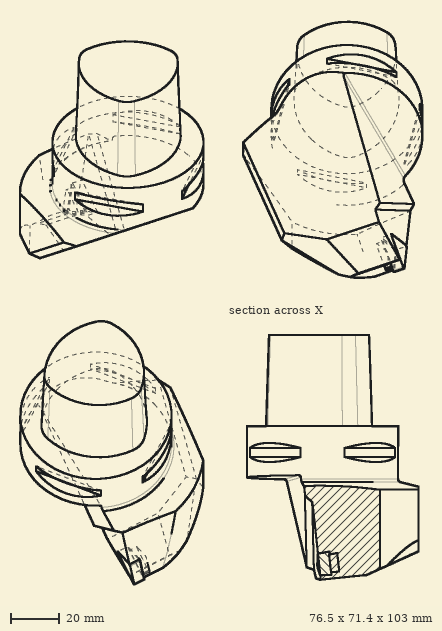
import cadquery as cq
import math


flange_radius = 63 / 2
flange_height = 22.0
shank_length = 38.0
head_radius = 45.0
head_front_y = -39.94

shank_corner_reach = 23.6
shank_side_reach = 20.65
shank_side_radius = 29.75
shank_draft_angle = 1.85
lobe_pitch = 120

slot_floor_distance = 27.8
slot_floor_width = 3.7
slot_wall_angle = 30.0
slot_angles = [45, 135, 225, 315]

shoulder_angle = 14.0
shoulder_fillet = 1.35

tip_x = -head_radius
tip_z = -64.977
insert_edge = 16.5
insert_thickness = 4.76
insert_corner_angle = 60.0
insert_nose_radius = 0.8
insert_lead_angle = 3.0
shim_thickness = 3.18
shim_inset = 1.0

rake_slope = 0.108
rake_normal = cq.Vector(-rake_slope, 1, -rake_slope).normalized()

diagonal_top = cq.Vector(flange_radius, 0, -18.5)
diagonal_bottom = cq.Vector(-20.6, 0, -63.4)
diagonal_run = diagonal_top - diagonal_bottom

bevel_front_point = cq.Vector(17.6, head_front_y, -26.2)
bevel_side_point = cq.Vector(22.3, -36.8, -26.2)

flank_point = (-42.65, 4, -26)
flank_outward = (-1, -0.102, 0.058)

corner_rim = (-36.15, -26.8, -58.2)
corner_low = (-12.4, head_front_y, -52.2)
corner_high = (-20.7, head_front_y, -47.5)
clearance_rim = (-38.3, -18.2, -62.1)
clearance_right = (-20.6, 3.1, -63.45)
clearance_left = (-40.7, 0.5, -64.15)

relief_roof_point = (-44, -5, -63.1)
relief_roof_outward = (0.25, -0.08, -1)
relief_wall_point = (-40.4, 0.5, -64)
relief_wall_outward = (-1, -0.21, -0.8)

chip_step = 2.75
chip_wall_points = [(-42.7, 4.1, -26), (-16.6, 3.34, -60), (-40.5, 7.3, -26)]
back_fillet = 1.0

undercut_point = (-30, 0, -20.45)
undercut_outward = (-0.031, 0, -1)

cutter_size = 300.0


def polar(radius, degrees):
    angle = math.radians(degrees)
    return (radius * math.cos(angle), radius * math.sin(angle))


def half_space(point, outward):
    """Large block filling the side of a plane that the outward direction points to."""
    plane = cq.Plane(origin=point, normal=outward)
    return cq.Workplane(plane).rect(cutter_size, cutter_size).extrude(cutter_size)


def half_space_through(points, outward_hint):
    """Half space bounded by the plane of three points, on the side of the hint direction."""
    first, second, third = [cq.Vector(point) for point in points]
    normal = (second - first).cross(third - first)
    if normal.dot(cq.Vector(outward_hint)) < 0:
        normal = -normal
    return half_space(first, normal)


def rake_y(x, z):
    return rake_slope * (x - tip_x + z - tip_z)


def make_shank():
    side_shift = shank_side_radius - shank_side_reach
    reach_gap = shank_side_radius - shank_corner_reach
    corner_shift = (reach_gap**2 - side_shift**2) / (side_shift - 2 * reach_gap)

    corner_x, corner_y = polar(corner_shift, 270 + lobe_pitch / 2)
    lean = math.atan2(corner_y - side_shift, corner_x)
    joint_x = shank_side_radius * math.cos(lean)
    joint_y = side_shift + shank_side_radius * math.sin(lean)
    joint_radius = math.hypot(joint_x, joint_y)
    half_side = 90 + math.degrees(math.atan2(joint_y, joint_x))

    outline = cq.Workplane("XY").moveTo(*polar(joint_radius, 270 - half_side))
    for lobe in range(3):
        side_angle = 270 + lobe * lobe_pitch
        outline = outline.threePointArc(
            polar(shank_side_reach, side_angle),
            polar(joint_radius, side_angle + half_side),
        )
        outline = outline.threePointArc(
            polar(shank_corner_reach, side_angle + lobe_pitch / 2),
            polar(joint_radius, side_angle + lobe_pitch - half_side),
        )
    return outline.close().extrude(shank_length, taper=shank_draft_angle)


def make_slot_cutter(angle):
    mouth_distance = flange_radius + 1
    wall_spread = (mouth_distance - slot_floor_distance) * math.tan(math.radians(slot_wall_angle))
    half_floor = slot_floor_width / 2
    half_mouth = half_floor + wall_spread
    profile = [
        (slot_floor_distance, -half_floor),
        (mouth_distance, -half_mouth),
        (mouth_distance, half_mouth),
        (slot_floor_distance, half_floor),
    ]
    slot = cq.Workplane("XZ").polyline(profile).close().extrude(flange_radius, both=True)
    return slot.translate((0, 0, -flange_height / 2)).rotate((0, 0, 0), (0, 0, 1), angle)


def make_flange():
    flange = cq.Workplane("XY").circle(flange_radius).extrude(-flange_height)
    for angle in slot_angles:
        flange = flange.cut(make_slot_cutter(angle))
    return flange


def make_head_blank():
    """Round blank with a fillet under the flange and a conical shoulder."""
    shoulder = math.radians(shoulder_angle)
    fillet_turn = math.pi / 2 - shoulder
    setback = shoulder_fillet * math.tan(fillet_turn / 2)
    cone_start_r = flange_radius + setback * math.cos(shoulder)
    cone_start_z = -flange_height - setback - setback * math.sin(shoulder)
    cone_end_z = cone_start_z - (head_radius - cone_start_r) * math.tan(shoulder)
    fillet_middle = (
        flange_radius + shoulder_fillet * (1 - math.cos(fillet_turn / 2)),
        -flange_height - shoulder_fillet * math.sin(fillet_turn / 2),
    )
    return (
        cq.Workplane("XZ")
        .moveTo(0, -flange_height)
        .lineTo(flange_radius, -flange_height)
        .threePointArc(fillet_middle, (cone_start_r, cone_start_z))
        .lineTo(head_radius, cone_end_z)
        .lineTo(head_radius, tip_z)
        .lineTo(0, tip_z)
        .close()
        .revolve(360, (0, 0, 0), (0, 1, 0))
    )


def cut_sides(head):
    head = head.cut(half_space((0, head_front_y, 0), (0, -1, 0)))
    head = head.cut(half_space(flank_point, flank_outward))
    bevel_points = [bevel_front_point, bevel_side_point, bevel_front_point + diagonal_run]
    return head.cut(half_space_through(bevel_points, (1, -1, -1)))


def cut_underside(head):
    downward = (0, 0, -1)
    facets = [
        [corner_rim, corner_low, corner_high],
        [corner_rim, corner_low, clearance_rim],
        [clearance_rim, clearance_right, clearance_left],
    ]
    for facet in facets:
        head = head.cut(half_space_through(facet, downward))
    relief = half_space(relief_roof_point, relief_roof_outward)
    relief = relief.intersect(half_space(relief_wall_point, relief_wall_outward))
    return head.cut(relief)


def cut_chip_pocket(head):
    above_rake = half_space((tip_x, 0, tip_z), rake_normal)
    beside_wall = half_space_through(chip_wall_points, (-1, 0, -1))
    return head.cut(above_rake.intersect(beside_wall))


def make_back_cutter():
    """Space behind the back face and under the flange, rounded where the two meet."""
    back_point = (tip_x, chip_step, tip_z)
    behind = half_space(back_point, rake_normal)
    below = half_space(undercut_point, undercut_outward)
    corner_direction = rake_normal.cross(cq.Vector(undercut_outward))
    corner_edges = cq.selectors.ParallelDirSelector(corner_direction)
    corner_middle = (0, chip_step + rake_y(0, -flange_height), -flange_height)
    nearest = cq.selectors.NearestToPointSelector(corner_middle)
    cutter = behind.intersect(below)
    return cutter.edges(corner_edges).edges(nearest).fillet(back_fillet)


def make_holder_blank():
    head = cut_chip_pocket(cut_underside(cut_sides(make_head_blank())))
    blank = make_flange().union(make_shank()).union(head)
    diagonal_outward = (diagonal_run.z, 0, -diagonal_run.x)
    blank = blank.cut(half_space(diagonal_bottom, diagonal_outward))
    return blank.cut(make_back_cutter())


def make_triangle_plate(inset, depth, thickness):
    """Triangular plate with rounded corners, at a depth below the rake plane."""
    lead = math.radians(insert_lead_angle)
    half_corner = math.radians(insert_corner_angle / 2)
    bisector = lead + half_corner

    nose_reach = insert_nose_radius / math.sin(half_corner)
    sharp_x = tip_x + insert_nose_radius - nose_reach * math.sin(bisector)
    sharp_z = tip_z + insert_nose_radius - nose_reach * math.cos(bisector)

    edge_x = math.sin(lead)
    edge_z = math.cos(lead)
    rake_plane = cq.Plane(
        origin=(sharp_x, rake_y(sharp_x, sharp_z), sharp_z),
        xDir=(edge_x, rake_slope * (edge_x + edge_z), edge_z),
        normal=rake_normal,
    )
    start = (inset / math.tan(half_corner), inset)
    side = insert_edge - 2 * start[0]
    third_x, third_y = polar(side, insert_corner_angle)
    corners = [
        start,
        (start[0] + side, start[1]),
        (start[0] + third_x, start[1] + third_y),
    ]
    return (
        cq.Workplane(rake_plane)
        .workplane(offset=-depth)
        .polyline(corners)
        .close()
        .extrude(-thickness)
        .edges(cq.selectors.ParallelDirSelector(rake_normal))
        .fillet(insert_nose_radius)
    )


insert = make_triangle_plate(0, 0, insert_thickness)
shim = make_triangle_plate(shim_inset, insert_thickness, shim_thickness)

holder = make_holder_blank().cut(insert).cut(shim)

result = cq.Compound.makeCompound([holder.solids().val(), insert.solids().val(), shim.solids().val()])